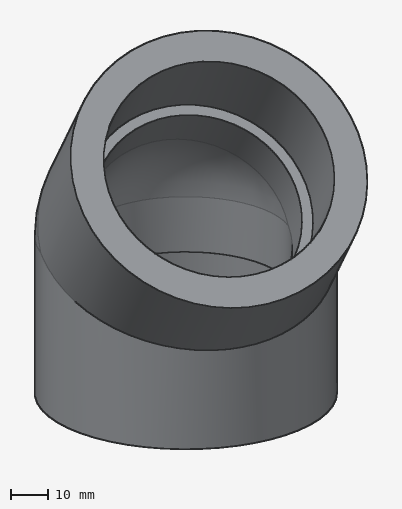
import cadquery as cq
import math

overall_height = 105.5
outer_diameter = 81.0
socket_diameter = 63.0
bore_diameter = 57.0
socket_depth = 29.0
bend_angle = 45.0

outer_radius = outer_diameter / 2
bend = math.radians(bend_angle)

leg_length = (overall_height - outer_radius * math.sin(bend)) / (1 + math.cos(bend))

leg_directions = [
    cq.Vector(0, 0, -1),
    cq.Vector(math.sin(bend), 0, math.cos(bend)),
]


def leg_cylinder(direction, diameter, start, end):
    """Cylinder on a leg axis between two distances from the bend centre."""
    solid = cq.Solid.makeCylinder(diameter / 2, end - start, direction * start, direction)
    return cq.Workplane(obj=solid)


def elbow(diameter):
    """Two legs joined by a ball of the same diameter."""
    body = cq.Workplane("XY").sphere(diameter / 2)
    for direction in leg_directions:
        body = body.union(leg_cylinder(direction, diameter, 0, leg_length))
    return body


result = elbow(outer_diameter).cut(elbow(bore_diameter))

for direction in leg_directions:
    result = result.cut(leg_cylinder(direction, socket_diameter, leg_length - socket_depth, leg_length))